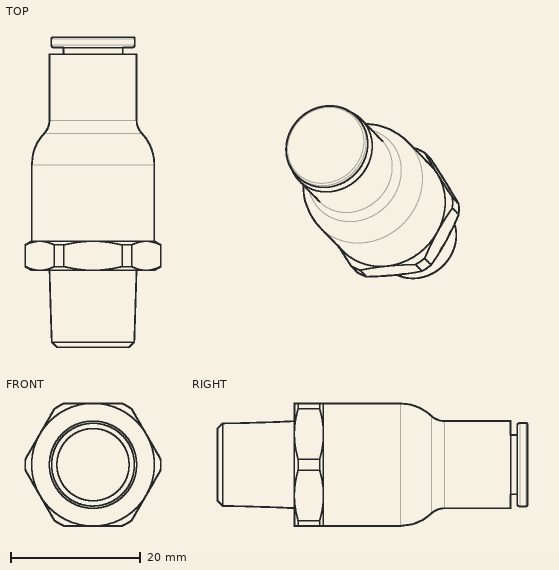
import cadquery as cq
import math

THREAD_GAUGE = 6.15
HEX_START = 11.9
HEX_END = 16.4
BODY_END = 28.25
SLEEVE_END = 45.35
RING_START = 46.35
RING_END = 48.0

HEX_FLATS = 19.0
HEX_CORNERS = 21.0
BODY_RADIUS = HEX_FLATS / 2
SLEEVE_RADIUS = 6.75
NECK_RADIUS = 4.6
RING_RADIUS = 6.5
GAUGE_RADIUS = 6.6

THREAD_CHAMFER = 0.8
THREAD_SLOPE = 1 / 32
HEX_CHAMFER_ANGLE = math.radians(30)
SHOULDER_RADIUS = 7.0
SHOULDER_FILLET = 3.0
RING_INNER_FILLET = 0.45
RING_END_FILLET = 0.3


def thread_radius(y):
    """Radius of the tapered thread at a station along Y."""
    return GAUGE_RADIUS + (y - THREAD_GAUGE) * THREAD_SLOPE


def turned_body():
    """Thread, body, domed shoulder and sleeve and neck as one revolved profile."""
    blend_radius = SHOULDER_RADIUS + SHOULDER_FILLET
    turn = math.acos(1 - (BODY_RADIUS - SLEEVE_RADIUS) / blend_radius)
    sleeve_start = BODY_END + blend_radius * math.sin(turn)

    shoulder_centre = BODY_RADIUS - SHOULDER_RADIUS
    fillet_centre = SLEEVE_RADIUS + SHOULDER_FILLET

    def on_shoulder(angle):
        return (
            shoulder_centre + SHOULDER_RADIUS * math.cos(angle),
            BODY_END + SHOULDER_RADIUS * math.sin(angle),
        )

    def on_fillet(angle):
        return (
            fillet_centre - SHOULDER_FILLET * math.cos(angle),
            sleeve_start - SHOULDER_FILLET * math.sin(angle),
        )

    chamfer_radius = thread_radius(THREAD_CHAMFER)
    profile = (
        cq.Workplane("XY")
        .lineTo(chamfer_radius - THREAD_CHAMFER, 0)
        .lineTo(chamfer_radius, THREAD_CHAMFER)
        .lineTo(GAUGE_RADIUS, THREAD_GAUGE)
        .lineTo(thread_radius(HEX_START), HEX_START)
        .lineTo(BODY_RADIUS, HEX_START)
        .lineTo(BODY_RADIUS, BODY_END)
        .threePointArc(on_shoulder(turn / 2), on_shoulder(turn))
        .threePointArc(on_fillet(turn / 2), (SLEEVE_RADIUS, sleeve_start))
        .lineTo(SLEEVE_RADIUS, SLEEVE_END)
        .lineTo(NECK_RADIUS, SLEEVE_END)
        .lineTo(NECK_RADIUS, RING_START)
        .lineTo(0, RING_START)
        .close()
    )
    return profile.revolve(360, (0, 0), (0, 1))


def release_ring():
    """Flange of the release collar, rounded at both rims."""
    return (
        cq.Workplane("XZ", origin=(0, RING_START, 0))
        .circle(RING_RADIUS)
        .extrude(RING_START - RING_END)
        .edges("<Y")
        .fillet(RING_INNER_FILLET)
        .edges(">Y")
        .fillet(RING_END_FILLET)
    )


def hexagon():
    """Wrench hexagon with corners on X, turned to the corner diameter and chamfered at both ends."""
    across_points = HEX_FLATS / math.cos(math.pi / 6)
    prism = (
        cq.Workplane("XZ", origin=(0, HEX_START, 0))
        .polygon(6, across_points)
        .extrude(HEX_START - HEX_END)
    )
    corner_radius = HEX_CORNERS / 2
    chamfer = (corner_radius - BODY_RADIUS) * math.tan(HEX_CHAMFER_ANGLE)
    envelope = (
        cq.Workplane("XY")
        .moveTo(0, HEX_START)
        .lineTo(BODY_RADIUS, HEX_START)
        .lineTo(corner_radius, HEX_START + chamfer)
        .lineTo(corner_radius, HEX_END - chamfer)
        .lineTo(BODY_RADIUS, HEX_END)
        .lineTo(0, HEX_END)
        .close()
        .revolve(360, (0, 0), (0, 1))
    )
    return prism.intersect(envelope)


result = turned_body().union(hexagon()).union(release_ring())